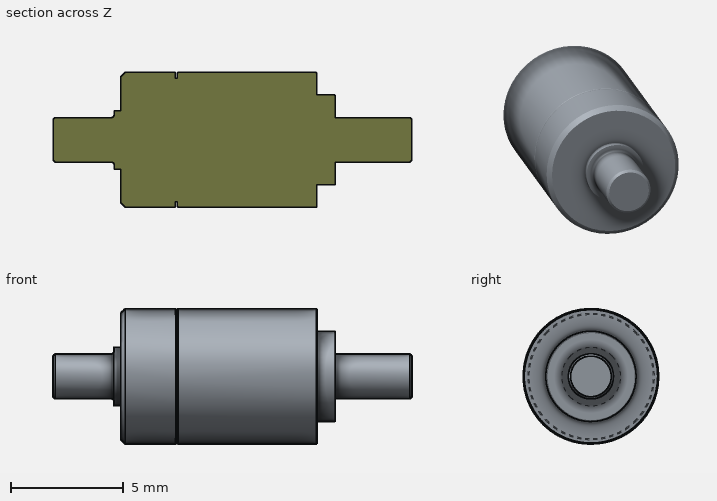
import cadquery as cq

total_length = 15.9
left_collar_start = 2.7
body_start = 3.0
groove_start = 5.43
groove_end = 5.5
body_end = 11.7
right_collar_end = 12.5

shaft_diameter = 2.0
left_collar_diameter = 2.6
right_collar_diameter = 4.0
groove_floor_diameter = 5.5
body_diameter = 6.0

shaft_chamfer = 0.1
shoulder_fillet = 0.1
front_chamfer = 0.2
sleeve_chamfer = 0.05
right_collar_fillet = 0.05


def cylinder(diameter, start, end):
    """Round bar on the X axis between two stations."""
    return cq.Workplane("YZ", origin=(start, 0, 0)).circle(diameter / 2).extrude(end - start)


def make_shaft():
    shaft = cylinder(shaft_diameter, 0, total_length)
    return shaft.faces("<X or >X").chamfer(shaft_chamfer)


def make_shoulder():
    """Concave fillet that blends the shaft into the face of the left collar."""
    small_radius = shaft_diameter / 2
    large_radius = small_radius + shoulder_fillet
    fillet_start = left_collar_start - shoulder_fillet
    profile = (
        cq.Workplane("XY")
        .moveTo(fillet_start, 0)
        .lineTo(fillet_start, small_radius)
        .radiusArc((left_collar_start, large_radius), -shoulder_fillet)
        .lineTo(left_collar_start, 0)
        .close()
    )
    return profile.revolve(360, (0, 0, 0), (1, 0, 0))


def make_body():
    """Two sleeves on a common core; the gap between them is the seam groove."""
    front = cylinder(body_diameter, body_start, groove_start)
    front = front.faces("<X").chamfer(front_chamfer)
    rear = cylinder(body_diameter, groove_end, body_end)
    rear = rear.faces("<X or >X").chamfer(sleeve_chamfer)
    core = cylinder(groove_floor_diameter, body_start, body_end)
    return core.union(front).union(rear)


def make_right_collar():
    collar = cylinder(right_collar_diameter, body_end, right_collar_end)
    return collar.faces(">X").fillet(right_collar_fillet)


left_collar = cylinder(left_collar_diameter, left_collar_start, body_start)

result = make_body().union(left_collar).union(make_right_collar()).union(make_shoulder()).union(make_shaft())